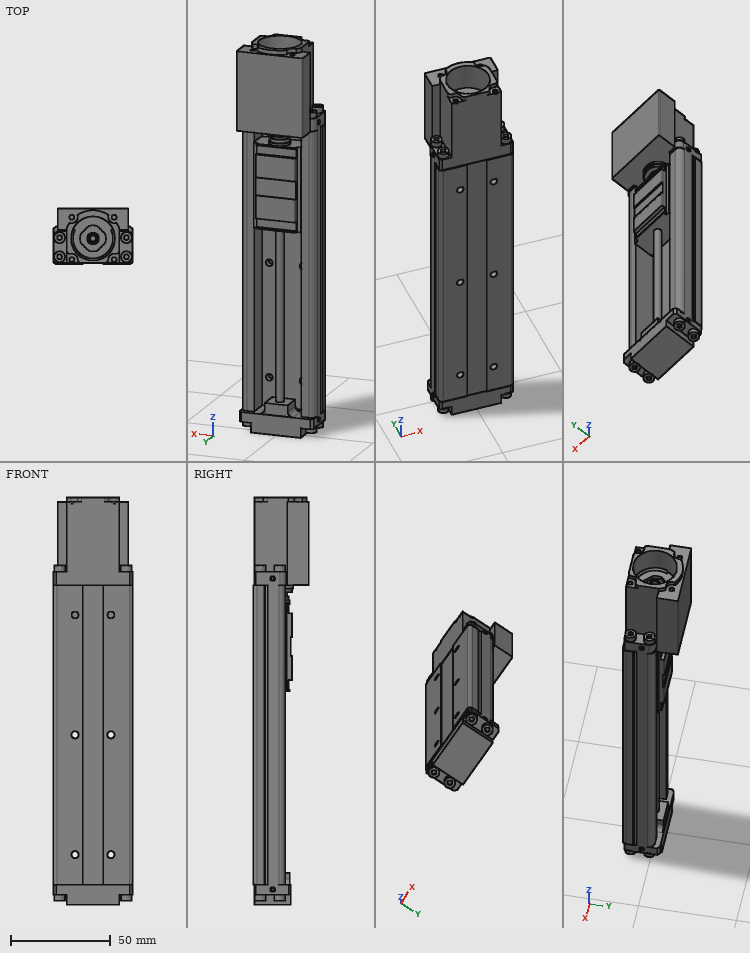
import cadquery as cq

TOTAL_HEIGHT = 204.0
WIDTH = 40.0

RAIL_START = 10.2
RAIL_LENGTH = 150.0
RAIL_END = RAIL_START + RAIL_LENGTH
RAIL_BOTTOM = -12.9
RAIL_TOP = 3.3
RAIL_TOP_FILLET = 3.3
RAIL_BOTTOM_FILLET = 1.8
CHANNEL_WIDTH = 25.3
CHANNEL_FLOOR = -8.5
RELIEF_WIDTH = 10.5
RELIEF_DEPTH = 0.5
GROOVE_TOP = -5.5
GROOVE_VALLEY = -6.7
GROOVE_BOTTOM = -7.3
GROOVE_DEPTH = 0.6
FLANK_STEP = 0.2
MOUNT_HOLE_DIAMETER = 3.5
MOUNT_HOLE_OFFSET = 9.0
MOUNT_HOLE_PITCH = 60.0
MOUNT_HOLE_ROWS = 3
FIRST_MOUNT_HOLE = RAIL_START + 0.5 * (RAIL_LENGTH - (MOUNT_HOLE_ROWS - 1) * MOUNT_HOLE_PITCH)

PLATE_WIDTH = WIDTH - 2 * FLANK_STEP
FRONT_FACE = -12.2
TOWER_WIDTH = 26.5
LOWER_PLATE_THICKNESS = 5.0
LOWER_PLATE_BACK = 6.1
UPPER_PLATE_THICKNESS = 6.7
UPPER_PLATE_BACK = 3.7
UPPER_PLATE_FILLET = 3.0
PLATE_CHAMFER_WIDTH = 1.5
FRONT_CHAMFER_DEPTH = 0.6
BACK_CHAMFER_DEPTH = 1.2
LOWER_PLATE_START = RAIL_START - LOWER_PLATE_THICKNESS
UPPER_PLATE_END = RAIL_END + UPPER_PLATE_THICKNESS

HEAD_DIAMETER = 5.5
HEAD_HEIGHT = 3.0
SOCKET_DIAMETER = 2.5
SOCKET_DEPTH = 1.6
SCREW_OFFSET = 16.7
SCREW_ROWS = (0.5, -9.2)
GRUB_Y = -3.0
GRUB_DIAMETER = 2.5
GRUB_DEPTH = 0.5
GRUB_SOCKET_DIAMETER = 1.6
GRUB_SOCKET_DEPTH = 1.2
LOWER_GRUB_Z = 7.8
UPPER_GRUB_Z = 163.5

MOTOR_WIDTH = 35.3
MOTOR_FRONT = 4.3
MOTOR_BACK = 15.0
MOTOR_FILLET = 0.5
BOSS_HEIGHT = 2.2
MOTOR_TOP = TOTAL_HEIGHT - BOSS_HEIGHT
BOSS_RADIUS = 14.0
BORE_RADIUS = 11.0
BORE_DEPTH = 14.3
BORE_FLOOR = TOTAL_HEIGHT - BORE_DEPTH
LEDGE_SIZE = 1.0
RECESS_SIDE = 11.8
RECESS_DIAMETER = 13.0
RECESS_DEPTH = 2.0
HUB_DIAMETER = 6.0
HUB_HEIGHT = 2.9
HUB_TIP_DIAMETER = 4.5
HUB_TIP_HEIGHT = 1.2
HUB_BORE_DIAMETER = 3.0
CORNER_OFFSET = 10.6
CORNER_HOLE_DIAMETER = 2.5
CORNER_HOLE_DEPTH = 1.0
CORNER_RELIEF_DIAMETER = 6.0
CORNER_RELIEF_FILLET = 1.8
SELECTION_MARGIN = 0.2

SCREW_DIAMETER = 4.0
COLLARS = ((7.3, 1.8), (6.7, 1.8), (4.3, 2.0))
STOP_BACK = 5.5
STOP_FRONT = -5.5
STOP_HEIGHT = 6.0
STOP_FLARE_HEIGHT = 2.9
STOP_TOP_WIDTH = 12.2

SLIDER_START = 106.9
SLIDER_END = 151.4
SLIDER_BOTTOM = -7.3
WING_TOP = 3.9
SLIDER_BACK = 4.9
SLIDER_WIDTH = 21.2
SEAL_BACK = 5.5
SEAL_THICKNESS = 0.8
TABLE_START = 112.6
TABLE_LENGTH = 33.5
TABLE_BACK = 6.1
PAD_LENGTH = 12.0
PAD_HEIGHT = 0.6
PAD_FILLET = 0.5
NUT_RADIUS = 5.5
NUT_LENGTH = 1.2
NUT_COLLAR_RADIUS = 4.9


def block(width, y_min, y_max, z_min, z_max):
    """Box centred on X = 0 between the given Y and Z limits."""
    depth = y_max - y_min
    height = z_max - z_min
    return cq.Workplane("XY").box(width, depth, height, (True, False, False)).translate((0, y_min, z_min))


def cylinder(radius, z_min, z_max, x=0.0, y=0.0):
    """Upright cylinder between two heights."""
    return cq.Workplane("XY").workplane(offset=z_min).center(x, y).circle(radius).extrude(z_max - z_min)


def make_rail():
    half = WIDTH / 2
    right_side = [
        (half, RAIL_BOTTOM),
        (half, GROOVE_BOTTOM),
        (half - GROOVE_DEPTH, GROOVE_VALLEY),
        (half - FLANK_STEP, GROOVE_TOP),
        (half - FLANK_STEP, RAIL_TOP),
    ]
    left_side = [(-x, y) for x, y in reversed(right_side)]
    section = cq.Workplane("XY").workplane(offset=RAIL_START).polyline(right_side + left_side).close()
    rail = section.extrude(RAIL_LENGTH)
    rail = rail.edges("|Z and >Y").fillet(RAIL_TOP_FILLET)
    rail = rail.edges("|Z and <Y").fillet(RAIL_BOTTOM_FILLET)
    rail = rail.cut(block(CHANNEL_WIDTH, CHANNEL_FLOOR, RAIL_TOP, RAIL_START, RAIL_END))
    rail = rail.cut(block(RELIEF_WIDTH, RAIL_BOTTOM, RAIL_BOTTOM + RELIEF_DEPTH, RAIL_START, RAIL_END))

    for row in range(MOUNT_HOLE_ROWS):
        z = FIRST_MOUNT_HOLE + row * MOUNT_HOLE_PITCH
        for x in (-MOUNT_HOLE_OFFSET, MOUNT_HOLE_OFFSET):
            hole = cq.Solid.makeCylinder(
                MOUNT_HOLE_DIAMETER / 2,
                CHANNEL_FLOOR - RAIL_BOTTOM,
                cq.Vector(x, RAIL_BOTTOM, z),
                cq.Vector(0, 1, 0),
            )
            rail = rail.cut(cq.Workplane(hole))
    return rail


def plate_outline(back, z, back_chamfer_width, back_chamfer_depth):
    """Plate outline with chamfered front corners and optional back chamfers."""
    half = PLATE_WIDTH / 2
    front_x = half - PLATE_CHAMFER_WIDTH
    back_x = half - back_chamfer_width
    right_side = [(front_x, FRONT_FACE), (half, FRONT_FACE + FRONT_CHAMFER_DEPTH)]
    right_side.append((half, back - back_chamfer_depth))
    if back_chamfer_width > 0:
        right_side.append((back_x, back))
    left_side = [(-x, y) for x, y in reversed(right_side)]
    return cq.Workplane("XY").workplane(offset=z).polyline(right_side + left_side).close()


def make_lower_end():
    plate = plate_outline(
        LOWER_PLATE_BACK, LOWER_PLATE_START, PLATE_CHAMFER_WIDTH, BACK_CHAMFER_DEPTH
    ).extrude(LOWER_PLATE_THICKNESS)
    tower = block(TOWER_WIDTH, FRONT_FACE, LOWER_PLATE_BACK, 0, RAIL_START)
    return plate.union(tower)


def make_upper_plate():
    plate = plate_outline(UPPER_PLATE_BACK, RAIL_END, 0, 0).extrude(UPPER_PLATE_THICKNESS)
    return plate.edges("|Z and >Y").fillet(UPPER_PLATE_FILLET)


def make_cap_screws(seat_z, direction):
    """Four cap screw heads standing on an end plate, up (+1) or down (-1)."""
    heads = cq.Workplane("XY")
    axis = cq.Vector(0, 0, direction)
    top_z = seat_z + direction * HEAD_HEIGHT
    for y in SCREW_ROWS:
        for x in (-SCREW_OFFSET, SCREW_OFFSET):
            head = cq.Solid.makeCylinder(HEAD_DIAMETER / 2, HEAD_HEIGHT, cq.Vector(x, y, seat_z), axis)
            socket = cq.Solid.makeCylinder(
                SOCKET_DIAMETER / 2, SOCKET_DEPTH, cq.Vector(x, y, top_z), axis * -1
            )
            heads = heads.add(head.cut(socket))
    return heads


def cut_grub_holes(body):
    """Shallow stepped holes in both side faces of the two end plates."""
    steps = ((GRUB_DIAMETER, GRUB_DEPTH), (GRUB_SOCKET_DIAMETER, GRUB_SOCKET_DEPTH))
    for z in (LOWER_GRUB_Z, UPPER_GRUB_Z):
        for side in (-1, 1):
            start = cq.Vector(side * PLATE_WIDTH / 2, GRUB_Y, z)
            for diameter, depth in steps:
                hole = cq.Solid.makeCylinder(diameter / 2, depth, start, cq.Vector(-side, 0, 0))
                body = body.cut(cq.Workplane(hole))
    return body


def make_motor_housing():
    tower = block(TOWER_WIDTH, FRONT_FACE, MOTOR_FRONT, RAIL_END, MOTOR_TOP)
    motor = block(MOTOR_WIDTH, MOTOR_FRONT, MOTOR_BACK, RAIL_END, MOTOR_TOP)
    motor = motor.edges("|Z and >Y").fillet(MOTOR_FILLET)
    housing = tower.union(motor)

    corners = [(x, y) for x in (-CORNER_OFFSET, CORNER_OFFSET) for y in (-CORNER_OFFSET, CORNER_OFFSET)]
    rim = cylinder(BOSS_RADIUS, MOTOR_TOP, TOTAL_HEIGHT)
    rim = rim.intersect(block(TOWER_WIDTH, 0, BOSS_RADIUS, MOTOR_TOP, TOTAL_HEIGHT))
    rim = rim.union(block(TOWER_WIDTH, FRONT_FACE, MOTOR_FRONT, MOTOR_TOP, TOTAL_HEIGHT))
    side_slots = block(WIDTH, FRONT_FACE, -CORNER_OFFSET, MOTOR_TOP, TOTAL_HEIGHT).cut(
        block(2 * CORNER_OFFSET, FRONT_FACE, -CORNER_OFFSET, MOTOR_TOP, TOTAL_HEIGHT)
    )
    for x, y in corners:
        rim = rim.cut(cylinder(CORNER_RELIEF_DIAMETER / 2, MOTOR_TOP, TOTAL_HEIGHT, x, y))
    rim = rim.cut(side_slots)

    relief_reach = CORNER_RELIEF_DIAMETER / 2 + SELECTION_MARGIN
    for x in (-CORNER_OFFSET, CORNER_OFFSET):
        near_corner = cq.selectors.BoxSelector(
            (x - relief_reach, -CORNER_OFFSET - relief_reach, MOTOR_TOP),
            (x + relief_reach, -CORNER_OFFSET + relief_reach, TOTAL_HEIGHT),
        )
        rim = rim.edges("|Z").edges(near_corner).fillet(CORNER_RELIEF_FILLET)
    housing = housing.union(rim)

    for x, y in corners:
        hole = cylinder(CORNER_HOLE_DIAMETER / 2, MOTOR_TOP - CORNER_HOLE_DEPTH, MOTOR_TOP, x, y)
        housing = housing.cut(hole)
    return housing


def cut_motor_bore(body):
    """Motor bore with a sloped ledge in its front part and a recess around a stepped hub."""
    bore = cylinder(BORE_RADIUS, BORE_FLOOR, TOTAL_HEIGHT)
    cone = cq.Solid.makeCone(BORE_RADIUS - LEDGE_SIZE, BORE_RADIUS, LEDGE_SIZE, cq.Vector(0, 0, BORE_FLOOR))
    ledge = cylinder(BORE_RADIUS, BORE_FLOOR, BORE_FLOOR + LEDGE_SIZE).cut(cq.Workplane(cone))
    ledge = ledge.intersect(block(2 * BORE_RADIUS, -BORE_RADIUS, MOTOR_FRONT, BORE_FLOOR, MOTOR_TOP))

    recess_floor = BORE_FLOOR - RECESS_DEPTH
    recess = (
        cq.Workplane("XY")
        .workplane(offset=recess_floor)
        .transformed(rotate=(0, 0, 45))
        .rect(RECESS_SIDE, RECESS_SIDE)
        .extrude(RECESS_DEPTH)
    )
    recess = recess.intersect(cylinder(RECESS_DIAMETER / 2, recess_floor, BORE_FLOOR))

    shoulder_z = recess_floor + HUB_HEIGHT
    tip_z = shoulder_z + HUB_TIP_HEIGHT
    hub = cylinder(HUB_DIAMETER / 2, recess_floor, shoulder_z)
    hub = hub.union(cylinder(HUB_TIP_DIAMETER / 2, shoulder_z, tip_z))
    hub = hub.cut(cylinder(HUB_BORE_DIAMETER / 2, recess_floor, tip_z))
    return body.cut(bore.cut(ledge)).cut(recess).union(hub)


def make_screw():
    screw = cylinder(SCREW_DIAMETER / 2, RAIL_START, RAIL_END)
    top = RAIL_END
    for radius, length in COLLARS:
        screw = screw.union(cylinder(radius, top - length, top))
        top = top - length
    return screw


def make_lower_stop():
    """Stop block on the lower plate, flaring out to its foot in concave quarter rounds."""
    half_top = STOP_TOP_WIDTH / 2
    half_foot = half_top + STOP_FLARE_HEIGHT
    foot_z = RAIL_START
    neck_z = foot_z + STOP_FLARE_HEIGHT
    top_z = foot_z + STOP_HEIGHT
    sag = STOP_FLARE_HEIGHT * (1 - 0.5**0.5)
    return (
        cq.Workplane("XZ", origin=(0, STOP_BACK, 0))
        .moveTo(-half_foot, foot_z)
        .lineTo(half_foot, foot_z)
        .threePointArc((half_top + sag, foot_z + sag), (half_top, neck_z))
        .lineTo(half_top, top_z)
        .lineTo(-half_top, top_z)
        .lineTo(-half_top, neck_z)
        .threePointArc((-half_top - sag, foot_z + sag), (-half_foot, foot_z))
        .close()
        .extrude(STOP_BACK - STOP_FRONT)
    )


def make_base():
    base = make_rail().union(make_lower_end()).union(make_upper_plate())
    base = base.union(make_motor_housing())
    base = base.union(make_cap_screws(LOWER_PLATE_START, -1))
    base = base.union(make_cap_screws(UPPER_PLATE_END, 1))
    base = base.union(make_lower_stop()).union(make_screw())
    return cut_motor_bore(cut_grub_holes(base))


def make_slider():
    slider = block(CHANNEL_WIDTH, SLIDER_BOTTOM, WING_TOP, SLIDER_START, SLIDER_END)
    slider = slider.union(block(SLIDER_WIDTH, WING_TOP, SLIDER_BACK, SLIDER_START, SLIDER_END))

    for z in (SLIDER_START, SLIDER_END - SEAL_THICKNESS):
        slider = slider.union(block(SLIDER_WIDTH, WING_TOP, SEAL_BACK, z, z + SEAL_THICKNESS))

    table_end = TABLE_START + TABLE_LENGTH
    slider = slider.union(block(SLIDER_WIDTH, SLIDER_BACK, TABLE_BACK, TABLE_START, table_end))
    for z in (TABLE_START, table_end - PAD_LENGTH):
        pad = block(SLIDER_WIDTH, TABLE_BACK, TABLE_BACK + PAD_HEIGHT, z, z + PAD_LENGTH)
        slider = slider.union(pad.edges("|Z and >Y").fillet(PAD_FILLET))

    nut_end = SLIDER_END + NUT_LENGTH
    collar_end = RAIL_END - sum(length for _, length in COLLARS)
    slider = slider.union(cylinder(NUT_RADIUS, SLIDER_END, nut_end))
    slider = slider.union(cylinder(NUT_COLLAR_RADIUS, nut_end, collar_end))
    return slider.cut(cylinder(SCREW_DIAMETER / 2, SLIDER_START, collar_end))


base = make_base()
slider = make_slider()
result = cq.Compound.makeCompound([base.solids().val(), slider.solids().val()])